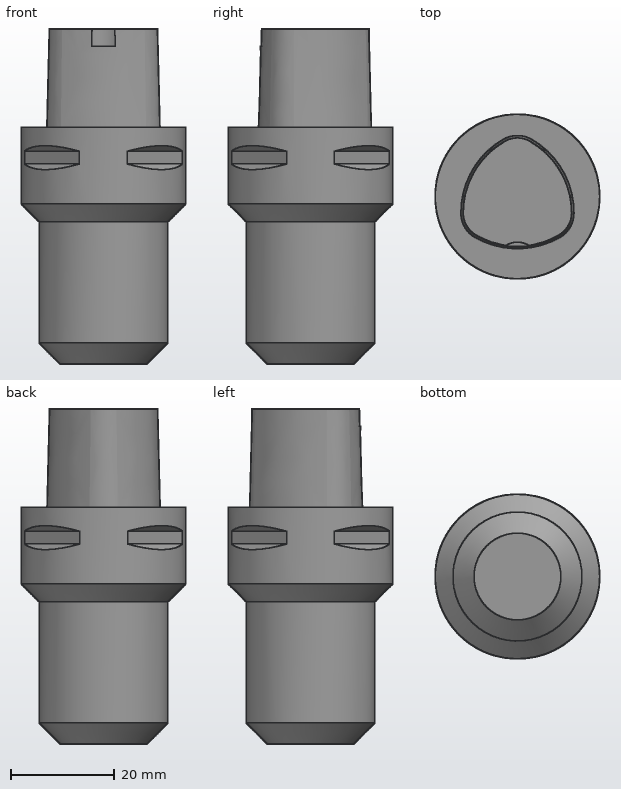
import cadquery as cq
import math

total_height = 65.0
shank_length = 19.05
flange_height = 14.9
shoulder_z = total_height - shank_length
flange_bottom_z = shoulder_z - flange_height

flange_radius = 32.0 / 2
body_radius = 25.0 / 2
foot_chamfer = 4.1
neck_z = flange_bottom_z - (flange_radius - body_radius)

lobe_count = 3
lobe_centre_distance = 6.4
lobe_radius = 5.45
top_inset = 0.475
lobe_half_angle = 30
first_lobe_angle = 90
shank_taper = math.degrees(math.atan(top_inset / shank_length))

notch_width = 4.55
notch_depth = 3.4
notch_radius = 4.0
notch_back_y = -8.85

groove_count = 4
groove_floor_distance = 14.1
groove_floor_height = 2.5
groove_centre_z = 40.05
groove_side_angle = 30
groove_length = 2 * flange_radius
groove_outer_distance = flange_radius + 0.65


def polar(distance, angle, centre=(0, 0)):
    """Point at a distance and an angle in degrees from a centre."""
    radians = math.radians(angle)
    return (centre[0] + distance * math.cos(radians), centre[1] + distance * math.sin(radians))


def make_body():
    return (
        cq.Workplane("XZ")
        .moveTo(0, 0)
        .lineTo(body_radius - foot_chamfer, 0)
        .lineTo(body_radius, foot_chamfer)
        .lineTo(body_radius, neck_z)
        .lineTo(flange_radius, flange_bottom_z)
        .lineTo(flange_radius, shoulder_z)
        .lineTo(0, shoulder_z)
        .close()
        .revolve(360, (0, 0, 0), (0, 1, 0))
    )


def make_shank():
    lobe_pitch = 360 / lobe_count
    side_distance = lobe_radius + lobe_centre_distance * (2 * math.cos(math.radians(lobe_half_angle)) - 1)
    start_centre = polar(lobe_centre_distance, first_lobe_angle)
    start = polar(lobe_radius, first_lobe_angle - lobe_half_angle, start_centre)
    outline = cq.Workplane("XY", origin=(0, 0, shoulder_z)).moveTo(*start)
    for index in range(lobe_count):
        angle = first_lobe_angle + index * lobe_pitch
        centre = polar(lobe_centre_distance, angle)
        lobe_tip = polar(lobe_centre_distance + lobe_radius, angle)
        lobe_end = polar(lobe_radius, angle + lobe_half_angle, centre)
        side_middle = polar(side_distance, angle + lobe_pitch / 2)
        next_angle = angle + lobe_pitch
        next_centre = polar(lobe_centre_distance, next_angle)
        side_end = polar(lobe_radius, next_angle - lobe_half_angle, next_centre)
        outline = outline.threePointArc(lobe_tip, lobe_end).threePointArc(side_middle, side_end)
    return outline.close().extrude(shank_length, taper=shank_taper)


def make_notch():
    half_width = notch_width / 2
    back_sagitta = notch_radius - math.sqrt(notch_radius**2 - half_width**2)
    corner_y = notch_back_y - back_sagitta
    outer_y = -flange_radius
    return (
        cq.Workplane("XY", origin=(0, 0, total_height - notch_depth))
        .moveTo(-half_width, outer_y)
        .lineTo(-half_width, corner_y)
        .threePointArc((0, notch_back_y), (half_width, corner_y))
        .lineTo(half_width, outer_y)
        .close()
        .extrude(notch_depth)
    )


def make_groove(angle):
    floor_half = groove_floor_height / 2
    depth = groove_outer_distance - groove_floor_distance
    outer_half = floor_half + depth * math.tan(math.radians(groove_side_angle))
    return (
        cq.Workplane("XZ")
        .polyline([
            (groove_floor_distance, groove_centre_z - floor_half),
            (groove_outer_distance, groove_centre_z - outer_half),
            (groove_outer_distance, groove_centre_z + outer_half),
            (groove_floor_distance, groove_centre_z + floor_half),
        ])
        .close()
        .extrude(groove_length / 2, both=True)
        .rotate((0, 0, 0), (0, 0, 1), angle)
    )


result = make_body().union(make_shank()).cut(make_notch())
groove_pitch = 360 / groove_count
for groove_index in range(groove_count):
    result = result.cut(make_groove((groove_index + 0.5) * groove_pitch))